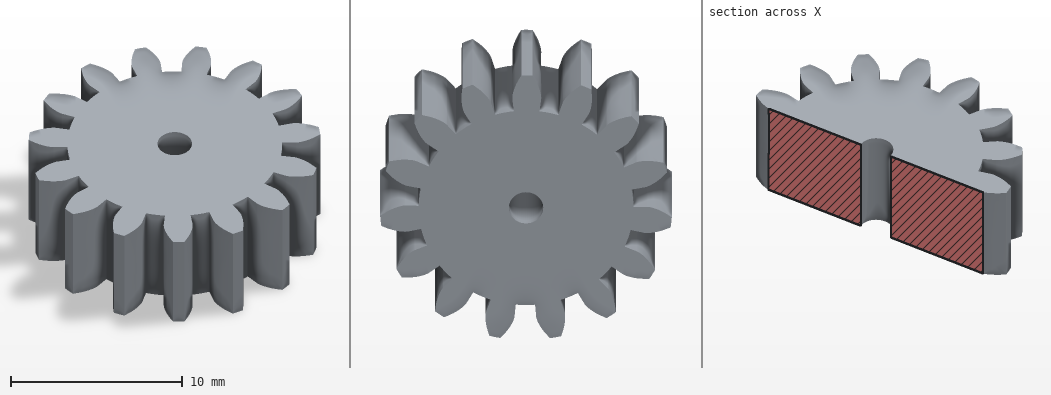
import cadquery as cq
import math

tooth_count = 15
tip_diameter = 17.0
face_width = 6.25
bore_diameter = 2.0
pressure_angle = math.radians(20)
dedendum_factor = 1.25

module = tip_diameter / (tooth_count + 2)
pitch_radius = module * tooth_count / 2
tip_radius = pitch_radius + module
root_radius = pitch_radius - dedendum_factor * module
base_radius = pitch_radius * math.cos(pressure_angle)
tooth_pitch = 2 * math.pi / tooth_count

flank_steps = 8


def involute(angle):
    """Polar angle swept by the involute at the given pressure angle."""
    return math.tan(angle) - angle


base_half_angle = tooth_pitch / 4 + involute(pressure_angle)


def polar(radius, angle):
    """Point at a radius and an angle from +X."""
    return (radius * math.cos(angle), radius * math.sin(angle))


def half_angle(radius):
    """Half the angle a tooth covers at a radius on its involute flank."""
    return base_half_angle - involute(math.acos(base_radius / radius))


def flank_radii():
    """Radii from base to tip, closer together near the base circle where the involute bends most."""
    height = tip_radius - base_radius
    return [base_radius + height * (step / flank_steps) ** 2 for step in range(flank_steps + 1)]


def gear_outline():
    """Closed outline, running counterclockwise from the lower root corner of the tooth on +X."""
    outline = cq.Workplane("XY").moveTo(*polar(root_radius, -base_half_angle))
    radii = flank_radii()
    for tooth in range(tooth_count):
        center = tooth * tooth_pitch
        lower_flank = [polar(radius, center - half_angle(radius)) for radius in radii]
        upper_flank = [polar(radius, center + half_angle(radius)) for radius in reversed(radii)]
        gap_center = center + tooth_pitch / 2
        next_root = center + tooth_pitch - base_half_angle

        outline = outline.lineTo(*lower_flank[0])
        outline = outline.spline(lower_flank[1:], includeCurrent=True)
        outline = outline.threePointArc(polar(tip_radius, center), upper_flank[0])
        outline = outline.spline(upper_flank[1:], includeCurrent=True)
        outline = outline.lineTo(*polar(root_radius, center + base_half_angle))
        outline = outline.threePointArc(polar(root_radius, gap_center), polar(root_radius, next_root))
    return outline.close()


gear = gear_outline().extrude(face_width)
bore = cq.Workplane("XY").circle(bore_diameter / 2).extrude(face_width)
result = gear.cut(bore)